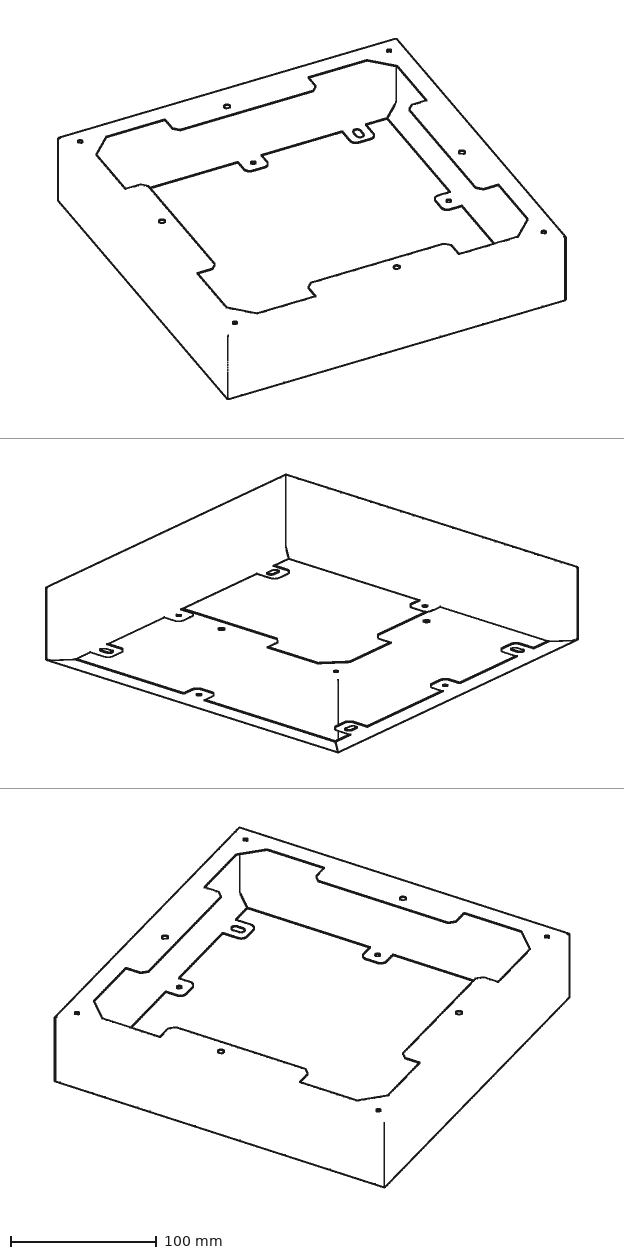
import cadquery as cq
import math

SIDE = 260.0
HEIGHT = 55.0
SHEET = 0.8
BEND_INSIDE = 0.8
TOP_Z = HEIGHT - SHEET
BEND_OUTSIDE = BEND_INSIDE + SHEET
CORNER_RADIUS = 0.5

TOP_FLANGE = 14.5
BOTTOM_FLANGE = 14.5
TOP_OPENING = SIDE - 2 * TOP_FLANGE
BOTTOM_OPENING = SIDE - 2 * BOTTOM_FLANGE

TAB_TIP = 100.0
TAB_WIDTH = 110.0
TAB_CHAMFER = 4.0
CORNER_CHAMFER = TOP_OPENING / 2 - TAB_TIP

TAB_HOLE = 4.5
MIDDLE_SHIFT = 10.0
TAB_HOLE_REACH = 110.0
CORNER_HOLE = 3.2
CORNER_HOLE_REACH = 118.5

LUG_TIP = 99.0
MIDDLE_LUG_TIP = 102.0
LUG_WIDTH = 18.0
LUG_RADIUS = 4.5
LUG_SHIFT = 90.0
SLOT_REACH = 108.5
SLOT_LENGTH = 10.0
SLOT_WIDTH = 5.5
LUG_HOLE = 3.5
LUG_HOLE_REACH = 110.0

MITRE_GAP = 0.2
MITRE_MARGIN = 0.5

ROOT_OVERLAP = 5.0


def folded_shell():
    """Square box with bent top and bottom edges, hollowed to the sheet thickness."""
    outer = cq.Workplane("XY").box(SIDE, SIDE, HEIGHT, centered=(True, True, False))
    outer = outer.edges("|Z").fillet(CORNER_RADIUS)
    outer = outer.faces("<Z or >Z").edges().fillet(BEND_OUTSIDE)
    inner_side = SIDE - 2 * SHEET
    inner_height = HEIGHT - 2 * SHEET
    inner = cq.Workplane("XY").box(inner_side, inner_side, inner_height, centered=(True, True, False))
    inner = inner.faces("<Z or >Z").edges().fillet(BEND_INSIDE)
    return outer.cut(inner.translate((0, 0, SHEET)))


def top_opening():
    """Chamfered square cut through the top sheet."""
    opening = cq.Workplane("XY").workplane(offset=TOP_Z).rect(TOP_OPENING, TOP_OPENING)
    return opening.extrude(SHEET).edges("|Z").chamfer(CORNER_CHAMFER)


def bottom_opening():
    """Plain square cut through the bottom sheet."""
    return cq.Workplane("XY").rect(BOTTOM_OPENING, BOTTOM_OPENING).extrude(SHEET)


def mitre_slit():
    """Diagonal slit in the +X+Y corner, from the bottom opening to just short of the bend."""
    start = BOTTOM_OPENING / 2
    end = SIDE / 2 - BEND_OUTSIDE - MITRE_MARGIN
    middle = (start + end) / 2
    length = (end - start) * math.sqrt(2)
    slit = cq.Workplane("XY").box(length, MITRE_GAP, SHEET, centered=(True, True, False))
    return turned(slit, 45).translate((middle, middle, 0))


def tongue(tip, root, width, base_z):
    """Flat tongue on the +X side, pointing inward to the given tip position."""
    length = root + ROOT_OVERLAP - tip
    return cq.Workplane("XY", origin=(tip, 0, base_z)).box(length, width, SHEET, centered=(False, True, False))


def tab():
    """Wide tab of the top flange, with both tip corners chamfered."""
    plate = tongue(TAB_TIP, TOP_OPENING / 2, TAB_WIDTH, TOP_Z)
    return plate.edges("|Z and <X").chamfer(TAB_CHAMFER)


def lug(tip, shift):
    """Narrow lug of the bottom flange, with both tip corners rounded."""
    plate = tongue(tip, BOTTOM_OPENING / 2, LUG_WIDTH, 0)
    return plate.edges("|Z and <X").fillet(LUG_RADIUS).translate((0, shift, 0))


def round_hole(diameter, x, y, base_z):
    return cq.Workplane("XY", origin=(x, y, base_z)).circle(diameter / 2).extrude(SHEET)


def slot(x, y, angle):
    return cq.Workplane("XY", origin=(x, y, 0)).slot2D(SLOT_LENGTH, SLOT_WIDTH, angle).extrude(SHEET)


def turned(body, angle):
    """Copy of the body turned about the vertical axis of the frame."""
    return body.rotate((0, 0, 0), (0, 0, 1), angle)


frame = folded_shell().cut(top_opening()).cut(bottom_opening())

for quarter in range(4):
    angle = 90 * quarter
    shift = MIDDLE_SHIFT if quarter % 2 == 0 else -MIDDLE_SHIFT
    additions = (tab(), lug(MIDDLE_LUG_TIP, -shift))
    cuts = (
        round_hole(TAB_HOLE, TAB_HOLE_REACH, shift, TOP_Z),
        round_hole(LUG_HOLE, LUG_HOLE_REACH, -shift, 0),
        round_hole(CORNER_HOLE, CORNER_HOLE_REACH, CORNER_HOLE_REACH, TOP_Z),
        mitre_slit(),
    )
    for body in additions:
        frame = frame.union(turned(body, angle))
    for body in cuts:
        frame = frame.cut(turned(body, angle))

for side_angle in (0, 180):
    for shift, slot_angle in ((LUG_SHIFT, 90), (-LUG_SHIFT, 0)):
        frame = frame.union(turned(lug(LUG_TIP, shift), side_angle))
        frame = frame.cut(turned(slot(SLOT_REACH, shift, slot_angle), side_angle))

result = frame